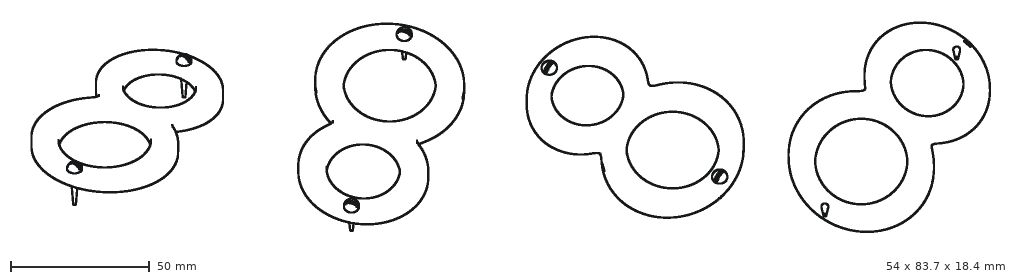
import cadquery as cq
import math


total_length = 83.7
total_width = 54.0
plate_thickness = 5.1
edge_fillet = 0.5
waist_top_y = 6.9
waist_bottom_y = 1.75
waist_half_width = 15.65
waist_middle_y = 4.35

upper_half_width = 23.6
upper_half_height = 21.0
upper_center_y = total_length / 2 - upper_half_height
upper_hole_half_width = 13.2
upper_hole_half_height = 12.8

lower_half_width = total_width / 2
lower_half_height = 24.9
lower_center_y = -total_length / 2 + lower_half_height
lower_hole_half_width = 16.6
lower_hole_half_height = 16.6

pin_inset = 4.1
pin_y_positions = [
    total_length / 2 - pin_inset,
    -total_length / 2 + pin_inset,
]
head_radius = 2.8
head_height = 2.6
shank_radius = 1.25
tip_radius = 0.54
shank_projection = 10.7
slot_width = 1.0
slot_depth = 1.6


def elliptical_block(center_y, half_width, half_height):
    """Upright elliptical block as thick as the plate."""
    return (
        cq.Workplane("XY")
        .center(0, center_y)
        .ellipse(half_width, half_height)
        .extrude(plate_thickness)
    )


def ellipse_angle(y, center_y, half_height):
    """Parameter angle, on the +X side, where an ellipse reaches the height y."""
    return math.asin((y - center_y) / half_height)


def ellipse_point(angle, center_y, half_width, half_height):
    return cq.Vector(half_width * math.cos(angle), center_y + half_height * math.sin(angle), 0)


def ellipse_tangent(angle, half_width, half_height):
    """Clockwise direction of travel along an ellipse."""
    return cq.Vector(half_width * math.sin(angle), -half_height * math.cos(angle), 0).normalized()


def ellipse_arc(start_angle, end_angle, center_y, half_width, half_height):
    """Clockwise part of an ellipse, as a curve in the XY plane with its major axis along X."""
    return cq.Edge.makeEllipse(
        half_width,
        half_height,
        cq.Vector(0, center_y, 0),
        cq.Vector(0, 0, 1),
        cq.Vector(1, 0, 0),
        math.degrees(end_angle),
        math.degrees(start_angle),
    )


def make_figure_block():
    """Solid figure eight: two ellipses joined by a smooth concave waist on each side."""
    upper_angle = ellipse_angle(waist_top_y, upper_center_y, upper_half_height)
    lower_angle = ellipse_angle(waist_bottom_y, lower_center_y, lower_half_height)
    upper = (upper_center_y, upper_half_width, upper_half_height)
    lower = (lower_center_y, lower_half_width, lower_half_height)

    waist = cq.Edge.makeSpline(
        [
            ellipse_point(upper_angle, *upper),
            cq.Vector(waist_half_width, waist_middle_y, 0),
            ellipse_point(lower_angle, *lower),
        ],
        tangents=[
            ellipse_tangent(upper_angle, upper_half_width, upper_half_height),
            ellipse_tangent(lower_angle, lower_half_width, lower_half_height),
        ],
    )
    right_side = [
        ellipse_arc(math.pi / 2, 0, *upper),
        ellipse_arc(0, upper_angle, *upper),
        waist,
        ellipse_arc(lower_angle, 0, *lower),
        ellipse_arc(0, -math.pi / 2, *lower),
    ]
    left_side = [edge.mirror("YZ") for edge in right_side]
    outline = cq.Wire.assembleEdges(right_side + left_side[::-1])
    return cq.Workplane("XY").add(outline).toPending().extrude(plate_thickness)


def make_plate():
    """Figure-eight plate with rounded edges and two pin holes."""
    plate = make_figure_block()
    plate = plate.cut(
        elliptical_block(upper_center_y, upper_hole_half_width, upper_hole_half_height)
    )
    plate = plate.cut(
        elliptical_block(lower_center_y, lower_hole_half_width, lower_hole_half_height)
    )
    plate = plate.faces("<Z or >Z").edges().fillet(edge_fillet)

    pin_points = [(0, y) for y in pin_y_positions]
    pin_holes = (
        cq.Workplane("XY").pushPoints(pin_points).circle(shank_radius).extrude(plate_thickness)
    )
    return plate.cut(pin_holes)


def make_pin(center_y):
    """Pin with a slotted dome head, a straight shank in the plate and a tapered end."""
    dome_radius = (head_radius**2 + head_height**2) / (2 * head_height)
    dome_center_z = plate_thickness + head_height - dome_radius
    mid_radius = head_radius / 2
    mid_z = dome_center_z + (dome_radius**2 - mid_radius**2) ** 0.5
    crown_z = plate_thickness + head_height

    pin = (
        cq.Workplane("XZ")
        .moveTo(0, -shank_projection)
        .lineTo(tip_radius, -shank_projection)
        .lineTo(shank_radius, 0)
        .lineTo(shank_radius, plate_thickness)
        .lineTo(head_radius, plate_thickness)
        .threePointArc((mid_radius, mid_z), (0, crown_z))
        .close()
        .revolve(360, (0, 0), (0, 1))
    )
    slot = (
        cq.Workplane("XY")
        .workplane(offset=crown_z - slot_depth)
        .rect(2 * head_radius, slot_width)
        .extrude(slot_depth)
    )
    return pin.cut(slot).translate((0, center_y, 0))


plate = make_plate()
pins = [make_pin(y) for y in pin_y_positions]

result = cq.Compound.makeCompound([plate.val(), *[pin.val() for pin in pins]])